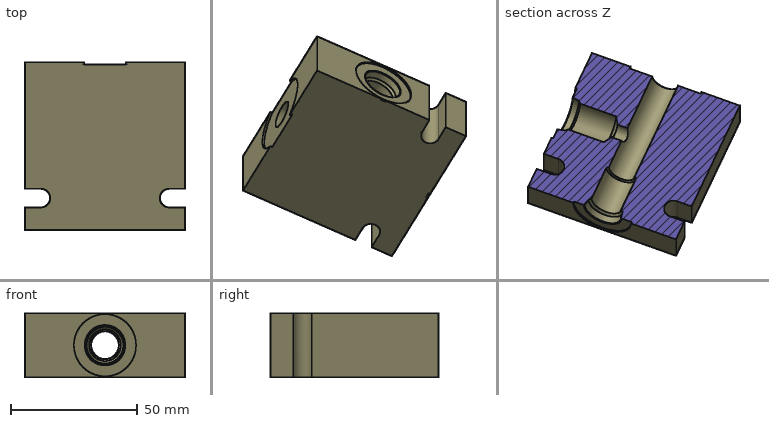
import cadquery as cq
import math

width = 63.5
length = 66.55
height = 25.4

slot_width = 7.25
slot_depth = 10
slot_y = -20.55

spotface_diameter = 24.6
spotface_depth = 0.65
mouth_diameter = 16.05
thread_top_diameter = 15.5
thread_end_diameter = 14.5
thread_depth = 3.65
drill_diameter = 12.6
drill_depth = 19.95
chamfer_angle = 45
drill_half_angle = 59

main_bore_diameter = 10.9
side_passage_diameter = 6
side_port_y = 3.5

rear_opening_width = 16.4
rear_spotface_radius = math.hypot(rear_opening_width / 2, height / 2)
rear_spotface_depth = 0.85


def cone_length(large_diameter, small_diameter, half_angle):
    """Axial length of a cone between two diameters."""
    return (large_diameter - small_diameter) / 2 / math.tan(math.radians(half_angle))


def port_cutter(passage_diameter, passage_end):
    """Port and passage as a solid of revolution, going inward along +Y from y = 0."""
    mouth_end = spotface_depth + cone_length(mouth_diameter, thread_top_diameter, chamfer_angle)
    step_end = thread_depth + cone_length(thread_end_diameter, drill_diameter, chamfer_angle)
    drill_tip = drill_depth + cone_length(drill_diameter, passage_diameter, drill_half_angle)
    profile = [
        (0, 0),
        (spotface_diameter / 2, 0),
        (spotface_diameter / 2, spotface_depth),
        (mouth_diameter / 2, spotface_depth),
        (thread_top_diameter / 2, mouth_end),
        (thread_end_diameter / 2, thread_depth),
        (drill_diameter / 2, step_end),
        (drill_diameter / 2, drill_depth),
        (passage_diameter / 2, drill_tip),
        (passage_diameter / 2, passage_end),
        (0, passage_end),
    ]
    return cq.Workplane("XY").polyline(profile).close().revolve(360, (0, 0, 0), (0, 1, 0))


block = cq.Workplane("XY").box(width, length, height)

slots = (
    cq.Workplane("XY")
    .pushPoints([(-width / 2, slot_y), (width / 2, slot_y)])
    .slot2D(2 * slot_depth, slot_width)
    .extrude(height / 2, both=True)
)

front_port = port_cutter(main_bore_diameter, length).translate((0, -length / 2, 0))

left_port = (
    port_cutter(side_passage_diameter, width / 2)
    .rotate((0, 0, 0), (0, 0, 1), -90)
    .translate((-width / 2, side_port_y, 0))
)

rear_spotface = (
    cq.Workplane("XZ", origin=(0, length / 2, 0))
    .circle(rear_spotface_radius)
    .extrude(rear_spotface_depth)
)

result = block.cut(slots).cut(front_port).cut(left_port).cut(rear_spotface)